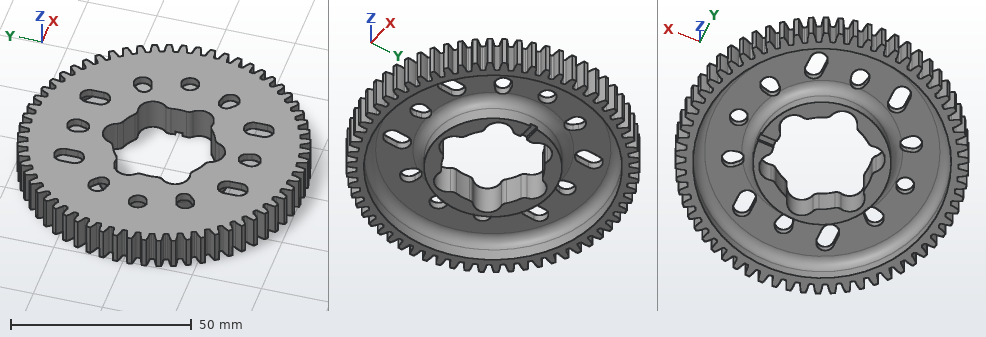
import cadquery as cq
import math

OUTSIDE_DIAMETER = 81.3
TOOTH_COUNT = 62
PRESSURE_ANGLE = math.radians(14.5)
DEDENDUM_RATIO = 1.25
THICKNESS = 9.5
ROOT_FILLET = 0.5
FLANK_POINTS = 6

MODULE = OUTSIDE_DIAMETER / (TOOTH_COUNT + 2)
OUTSIDE_RADIUS = OUTSIDE_DIAMETER / 2
PITCH_RADIUS = MODULE * TOOTH_COUNT / 2
BASE_RADIUS = PITCH_RADIUS * math.cos(PRESSURE_ANGLE)
ROOT_RADIUS = PITCH_RADIUS - DEDENDUM_RATIO * MODULE
TOOTH_PITCH = 360 / TOOTH_COUNT

BORE_RADIUS = 14.3
LOBE_COUNT = 6
LOBE_CENTER_RADIUS = 13.3
LOBE_RADIUS = 4.15
BORE_CORNER_RADIUS = 2.0

WEB_THICKNESS = 2.35
RECESS_OUTER_RADIUS = 35.8
RECESS_INNER_RADIUS = 19.1
RECESS_CORNER_RADIUS = 3.2

NOTCH_WIDTH = 2.1
NOTCH_DEPTH = 1.0

OUTER_BOLT_RADIUS = 25.4
INNER_BOLT_RADIUS = 23.8
LARGE_HOLE_RADIUS = 2.5
SMALL_HOLE_RADIUS = 2.1
ROUND_HOLE_ANGLES = (0, 180)
TAPERED_SLOT_ANGLES = (30, 90, 150, 210, 270, 330)

CUT_MARGIN = 0.8


def polar(radius, angle):
    return (radius * math.cos(angle), radius * math.sin(angle))


def mirrored(point):
    return (point[0], -point[1])


def involute_angle(radius):
    """Angle an involute has swept from its start on the base circle to the given radius."""
    pressure = math.acos(BASE_RADIUS / radius)
    return math.tan(pressure) - pressure


def tooth_space():
    """Cutter for the space between two teeth, centred on +X, with filleted root corners."""
    start_angle = math.pi / (2 * TOOTH_COUNT) - involute_angle(PITCH_RADIUS)
    tip_radius = OUTSIDE_RADIUS + CUT_MARGIN
    flank = []
    for i in range(FLANK_POINTS):
        radius = BASE_RADIUS + (tip_radius - BASE_RADIUS) * i / (FLANK_POINTS - 1)
        flank.append(polar(radius, start_angle + involute_angle(radius)))
    opposite_flank = [mirrored(point) for point in reversed(flank)]
    root_corner = polar(ROOT_RADIUS, start_angle)
    return (
        cq.Workplane("XY")
        .moveTo(*root_corner)
        .spline(flank, includeCurrent=True)
        .lineTo(*opposite_flank[0])
        .spline([*opposite_flank[1:], mirrored(root_corner)], includeCurrent=True)
        .threePointArc((ROOT_RADIUS, 0), root_corner)
        .close()
        .extrude(THICKNESS)
        .edges("|Z").edges("<X")
        .fillet(ROOT_FILLET)
    )


def gear_blank():
    """Toothed disc with a tooth centred on +Y and a tooth space centred on +X."""
    space = tooth_space().val()
    spaces = [
        space.rotate(cq.Vector(0, 0, 0), cq.Vector(0, 0, 1), i * TOOTH_PITCH)
        for i in range(TOOTH_COUNT)
    ]
    disc = cq.Workplane("XY").circle(OUTSIDE_RADIUS).extrude(THICKNESS)
    return disc.cut(cq.Workplane(cq.Compound.makeCompound(spaces)))


def lobed_bore():
    """Cutter for the bore, with one lobe on each of +Y and -Y."""
    lobes = (
        cq.Workplane("XY")
        .polarArray(LOBE_CENTER_RADIUS, 90, 360, LOBE_COUNT)
        .circle(LOBE_RADIUS)
        .extrude(THICKNESS)
    )
    bore = cq.Workplane("XY").circle(BORE_RADIUS).extrude(THICKNESS).union(lobes)
    return bore.edges("|Z").fillet(BORE_CORNER_RADIUS)


def underside_recess():
    """Cutter for the annular pocket, rounded where its roof meets the rim and the hub."""
    return (
        cq.Workplane("XY")
        .circle(RECESS_OUTER_RADIUS)
        .circle(RECESS_INNER_RADIUS)
        .extrude(THICKNESS - WEB_THICKNESS)
        .faces(">Z").edges()
        .fillet(RECESS_CORNER_RADIUS)
    )


def index_notch():
    """Cutter running along +X from the axis to the outside of the hub."""
    return cq.Workplane("XY").box(
        RECESS_INNER_RADIUS, NOTCH_WIDTH, NOTCH_DEPTH, centered=(False, True, False)
    )


def round_hole(angle):
    center = polar(OUTER_BOLT_RADIUS, math.radians(angle))
    return cq.Workplane("XY").center(*center).circle(LARGE_HOLE_RADIUS).extrude(THICKNESS)


def tapered_slot(angle):
    """Slot whose ends are a large hole on the outer and a small hole on the inner bolt circle."""
    spacing = OUTER_BOLT_RADIUS - INNER_BOLT_RADIUS
    tangent_angle = math.acos((SMALL_HOLE_RADIUS - LARGE_HOLE_RADIUS) / spacing)
    large_dx, large_dy = polar(LARGE_HOLE_RADIUS, tangent_angle)
    small_dx, small_dy = polar(SMALL_HOLE_RADIUS, tangent_angle)
    large_tangent = (OUTER_BOLT_RADIUS + large_dx, large_dy)
    small_tangent = (INNER_BOLT_RADIUS + small_dx, small_dy)
    slot = (
        cq.Workplane("XY")
        .moveTo(*small_tangent)
        .lineTo(*large_tangent)
        .threePointArc((OUTER_BOLT_RADIUS + LARGE_HOLE_RADIUS, 0), mirrored(large_tangent))
        .lineTo(*mirrored(small_tangent))
        .threePointArc((INNER_BOLT_RADIUS - SMALL_HOLE_RADIUS, 0), small_tangent)
        .close()
        .extrude(THICKNESS)
    )
    return slot.rotate((0, 0, 0), (0, 0, 1), angle)


def straight_slots():
    """Four slots along Y: each runs from the 60 degree hole position out to the bolt-circle height."""
    slot_x, inner_y = polar(OUTER_BOLT_RADIUS, math.radians(60))
    outer_y = OUTER_BOLT_RADIUS
    center_y = (inner_y + outer_y) / 2
    length = outer_y - inner_y + 2 * LARGE_HOLE_RADIUS
    return (
        cq.Workplane("XY")
        .rarray(2 * slot_x, 2 * center_y, 2, 2)
        .slot2D(length, 2 * LARGE_HOLE_RADIUS, 90)
        .extrude(THICKNESS)
    )


gear = gear_blank().cut(lobed_bore()).cut(underside_recess()).cut(index_notch()).cut(straight_slots())
for hole_angle in ROUND_HOLE_ANGLES:
    gear = gear.cut(round_hole(hole_angle))
for slot_angle in TAPERED_SLOT_ANGLES:
    gear = gear.cut(tapered_slot(slot_angle))

result = gear.translate((0, 0, -THICKNESS / 2))